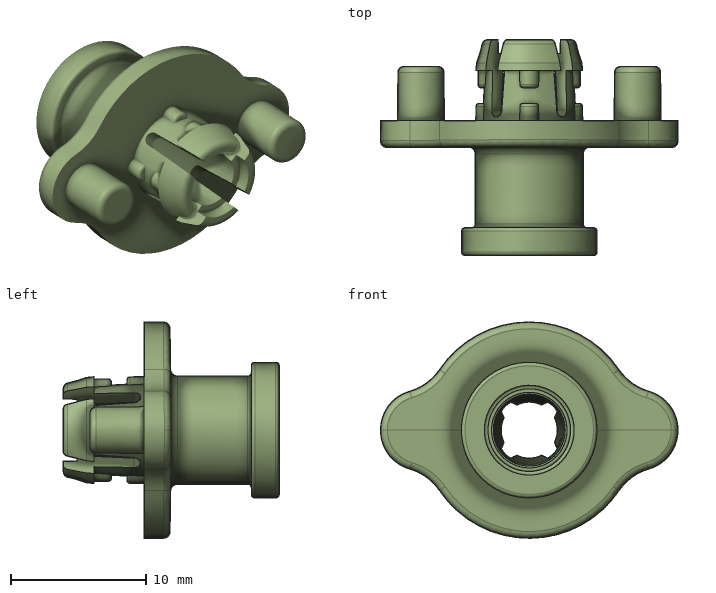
import cadquery as cq
import math


length = 22.0
disc_diameter = 16.0
lug_radius = 3.0
waist_radius = 4.0
flange_thickness = 2.0
flange_fillet = 0.5
flange_rim_drop = 0.09

post_radius = 1.74
post_height = 4.0
post_draft = 0.5
post_fillet = 0.46

barrel_length = 7.99
barrel_radius = 4.0
barrel_root_fillet = 0.5
head_radius = 5.02
head_length = 2.07
head_fillet = 0.26

sleeve_height = 5.98
sleeve_base_radius = 3.48
sleeve_draft = 3.2
hook_length = 2.29
hook_band = 0.57
hook_radius = 3.95
hook_band_rise = 0.07
hook_tip_radius = 3.39
hook_tip_fillet = 0.46

mouth_radius = 3.05
mouth_depth = 1.01
mouth_fillet = 0.26
throat_radius = 2.66
throat_fillet = 0.13
bore_waist_radius = 2.53
bore_exit_radius = 2.07
tip_bore_radius = 2.65
tip_bore_depth = 1.01

finger_count = 4
slot_root_radius = 0.5
slot_root_height = 0.77
slot_tip_half_width = 0.7

pad_radius = 0.73
pad_draft = 1.0
pad_fillet = 0.25
pad_height = 1.28
lower_pad_offset = 3.23
upper_pad_offset = 3.05

lug_x = length / 2 - lug_radius
disc_radius = disc_diameter / 2
barrel_end = -flange_thickness - barrel_length
hook_base = sleeve_height - hook_length


def cylinder(radius, start, height, x=0, taper=0):
    """Cylinder along +Y whose first face lies at Y = start."""
    plane = cq.Plane(origin=(x, start, 0), xDir=(1, 0, 0), normal=(0, 1, 0))
    return cq.Workplane(plane).circle(radius).extrude(height, taper=taper)


def revolve_about_y(profile):
    return profile.close().revolve(360, (0, 0, 0), (0, 1, 0))


def flange():
    """Disc with two lugs, blended by concave arcs tangent to both.

    The -Y face is two planes that meet on the X axis and fall away slightly toward +Z and -Z.
    """
    disc_to_waist = disc_radius + waist_radius
    lug_to_waist = lug_radius + waist_radius
    waist_x = (disc_to_waist**2 - lug_to_waist**2 + lug_x**2) / (2 * lug_x)
    waist_z = math.sqrt(disc_to_waist**2 - waist_x**2)

    disc_x = waist_x * disc_radius / disc_to_waist
    disc_z = waist_z * disc_radius / disc_to_waist
    tangent_x = lug_x + (waist_x - lug_x) * lug_radius / lug_to_waist
    tangent_z = waist_z * lug_radius / lug_to_waist

    middle_dx = (disc_x + tangent_x) / 2 - waist_x
    middle_dz = (disc_z + tangent_z) / 2 - waist_z
    to_arc = waist_radius / math.hypot(middle_dx, middle_dz)
    middle_x = waist_x + middle_dx * to_arc
    middle_z = waist_z + middle_dz * to_arc

    outline = (
        cq.Workplane("XZ")
        .moveTo(-disc_x, disc_z)
        .threePointArc((0, disc_radius), (disc_x, disc_z))
        .threePointArc((middle_x, middle_z), (tangent_x, tangent_z))
        .threePointArc((length / 2, 0), (tangent_x, -tangent_z))
        .threePointArc((middle_x, -middle_z), (disc_x, -disc_z))
        .threePointArc((0, -disc_radius), (-disc_x, -disc_z))
        .threePointArc((-middle_x, -middle_z), (-tangent_x, -tangent_z))
        .threePointArc((-length / 2, 0), (-tangent_x, tangent_z))
        .threePointArc((-middle_x, middle_z), (-disc_x, disc_z))
        .close()
    )
    rim_y = flange_rim_drop - flange_thickness
    roof = [
        (0, -disc_radius),
        (rim_y, -disc_radius),
        (-flange_thickness, 0),
        (rim_y, disc_radius),
        (0, disc_radius),
    ]
    envelope = cq.Workplane("YZ").polyline(roof).close().extrude(length / 2, both=True)
    plate = outline.extrude(flange_thickness).intersect(envelope)
    return plate.edges("(not |X) and (not |Y) and (not >Y)").fillet(flange_fillet)


def post(x):
    solid = cylinder(post_radius, 0, post_height, x=x, taper=post_draft)
    return solid.faces(">Y").edges().fillet(post_fillet)


def barrel():
    """Barrel with a flared root, and its head with rounded rims and a rounded neck.

    The flare starts where the sloping flange face lies at the flare's own radius.
    """
    root_radius = barrel_radius + barrel_root_fillet
    root_start = flange_rim_drop * root_radius / disc_radius - flange_thickness
    head_start = barrel_end + head_length
    return revolve_about_y(
        cq.Workplane("XY")
        .lineTo(root_radius, 0)
        .lineTo(root_radius, root_start)
        .radiusArc((barrel_radius, root_start - barrel_root_fillet), -barrel_root_fillet)
        .lineTo(barrel_radius, head_start + head_fillet)
        .radiusArc((barrel_radius + head_fillet, head_start), -head_fillet)
        .lineTo(head_radius - head_fillet, head_start)
        .radiusArc((head_radius, head_start - head_fillet), head_fillet)
        .lineTo(head_radius, barrel_end + head_fillet)
        .radiusArc((head_radius - head_fillet, barrel_end), head_fillet)
        .lineTo(0, barrel_end)
    )


def sleeve():
    """Tapered sleeve that ends in a hook with a conical lead-in."""
    neck_radius = sleeve_base_radius - hook_base * math.tan(math.radians(sleeve_draft))
    solid = revolve_about_y(
        cq.Workplane("XY")
        .lineTo(sleeve_base_radius, 0)
        .lineTo(neck_radius, hook_base)
        .lineTo(hook_radius, hook_base)
        .lineTo(hook_radius - hook_band_rise, hook_base + hook_band)
        .lineTo(hook_tip_radius, sleeve_height)
        .lineTo(0, sleeve_height)
    )
    return solid.faces(">Y").edges().fillet(hook_tip_fillet)


def pads(angle):
    """A pad standing on the flange and one hanging from the hook, on the finger at this angle."""
    lower = cylinder(pad_radius, 0, pad_height, x=lower_pad_offset, taper=pad_draft)
    lower = lower.faces(">Y").edges().fillet(pad_fillet)
    upper = cylinder(pad_radius, hook_base - pad_height, pad_height, x=upper_pad_offset)
    upper = upper.faces("<Y").edges().fillet(pad_fillet)
    return lower.union(upper).rotate((0, 0, 0), (0, 1, 0), angle)


def bore():
    """Through bore: rounded mouth, shelf, narrowing throat, conical finger bore and tip recess."""
    shelf = barrel_end + mouth_depth
    tip_shelf = sleeve_height - tip_bore_depth
    return revolve_about_y(
        cq.Workplane("XY")
        .moveTo(0, barrel_end)
        .lineTo(mouth_radius + mouth_fillet, barrel_end)
        .radiusArc((mouth_radius, barrel_end + mouth_fillet), -mouth_fillet)
        .lineTo(mouth_radius, shelf)
        .lineTo(throat_radius + throat_fillet, shelf)
        .radiusArc((throat_radius, shelf + throat_fillet), -throat_fillet)
        .lineTo(bore_waist_radius, 0)
        .lineTo(bore_exit_radius, tip_shelf)
        .lineTo(tip_bore_radius, tip_shelf)
        .lineTo(tip_bore_radius, sleeve_height)
        .lineTo(0, sleeve_height)
    )


def slot(angle):
    """Slot from the axis outward, round at its root and widening toward the tip."""
    return (
        cq.Workplane("XY")
        .moveTo(-slot_root_radius, slot_root_height)
        .threePointArc((0, slot_root_height - slot_root_radius), (slot_root_radius, slot_root_height))
        .lineTo(slot_tip_half_width, sleeve_height)
        .lineTo(-slot_tip_half_width, sleeve_height)
        .close()
        .extrude(disc_radius)
        .rotate((0, 0, 0), (0, 1, 0), angle)
    )


finger_step = 360 / finger_count

snap = sleeve()
for finger in range(finger_count):
    snap = snap.union(pads(finger * finger_step))
for finger in range(finger_count):
    snap = snap.cut(slot((finger + 0.5) * finger_step))

result = flange().union(barrel()).union(snap)
for side in (-1, 1):
    result = result.union(post(side * lug_x))
result = result.cut(bore())